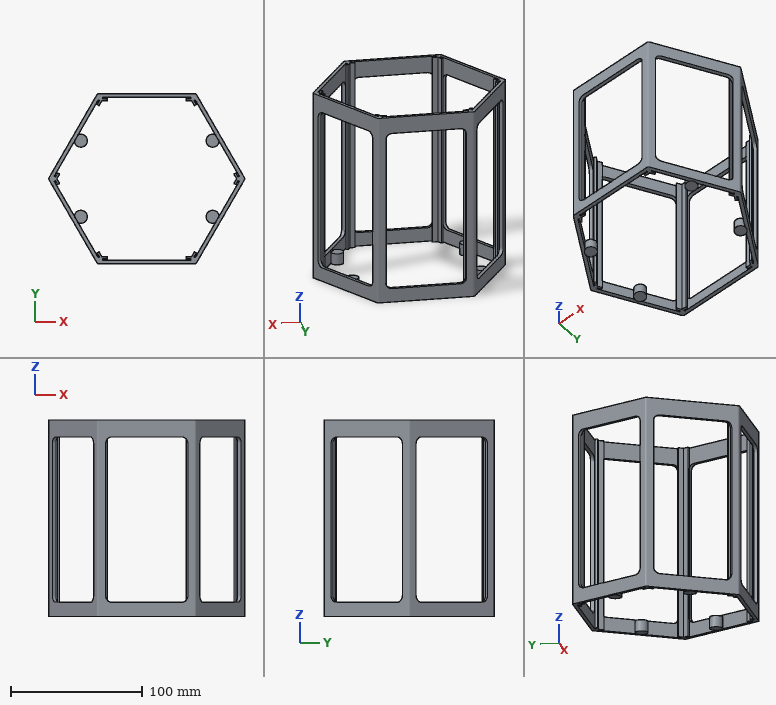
import cadquery as cq
import math

HEIGHT = 150.0
SIDES = 6
ACROSS_FLATS = 130.0
CORNER_RADIUS = 2.0
WALL = 3.0

WINDOW_SIDE_MARGIN = 6.2
WINDOW_TOP_MARGIN = 13.0
WINDOW_BOTTOM_MARGIN = 11.0
WINDOW_RADIUS = 5.0

SLOT_WIDTH = 0.9
LIP_THICKNESS = 1.8
SLOT_FLOOR = 4.0
LIP_END = 7.5

PIN_DIAMETER = 10.0
PIN_HEIGHT = 9.0
PIN_EMBED = 1.0
PIN_WALL_ANGLES = (30, 150, 210, 330)

SIDE_ANGLE = 360 / SIDES
HALF_SIDE_ANGLE = math.radians(SIDE_ANGLE / 2)
APOTHEM = ACROSS_FLATS / 2
CORNER_DISTANCE = APOTHEM / math.cos(HALF_SIDE_ANGLE)
SIDE_LENGTH = 2 * APOTHEM * math.tan(HALF_SIDE_ANGLE)
PIN_CENTER_DISTANCE = APOTHEM - WALL + PIN_EMBED - PIN_DIAMETER / 2


def hexagon_prism(apothem):
    diameter = 2 * apothem / math.cos(HALF_SIDE_ANGLE)
    return cq.Workplane("XY").polygon(SIDES, diameter).extrude(HEIGHT)


def make_wall_ring():
    outside = hexagon_prism(APOTHEM).edges("|Z").fillet(CORNER_RADIUS)
    return outside.cut(hexagon_prism(APOTHEM - WALL))


def make_window(wall_angle):
    """Rounded opening through the wall whose outward normal is at wall_angle."""
    width = SIDE_LENGTH - 2 * WINDOW_SIDE_MARGIN
    height = HEIGHT - WINDOW_TOP_MARGIN - WINDOW_BOTTOM_MARGIN
    center_z = WINDOW_BOTTOM_MARGIN + height / 2
    return (
        cq.Workplane("XY")
        .box(2 * WALL, width, height)
        .edges("|X")
        .fillet(WINDOW_RADIUS)
        .translate((APOTHEM, 0, center_z))
        .rotate((0, 0, 0), (0, 0, 1), wall_angle)
    )


def corner_point(along, depth):
    """Point near the +X corner: along the wall from the sharp corner, and inward from its outer face."""
    x = CORNER_DISTANCE - along * math.sin(HALF_SIDE_ANGLE) - depth * math.cos(HALF_SIDE_ANGLE)
    y = along * math.cos(HALF_SIDE_ANGLE) - depth * math.sin(HALF_SIDE_ANGLE)
    return (x, y)


def make_corner_post(corner_angle):
    """Full-height post in the corner at corner_angle, with a slot and a lip beside each wall."""
    lip_outer = WALL + SLOT_WIDTH
    lip_inner = lip_outer + LIP_THICKNESS
    outer_tip = (CORNER_DISTANCE - WALL / math.cos(HALF_SIDE_ANGLE), 0)
    inner_tip = (CORNER_DISTANCE - lip_inner / math.cos(HALF_SIDE_ANGLE), 0)
    upper_half = [
        corner_point(SLOT_FLOOR, WALL),
        corner_point(SLOT_FLOOR, lip_outer),
        corner_point(LIP_END, lip_outer),
        corner_point(LIP_END, lip_inner),
    ]
    lower_half = [(x, -y) for x, y in reversed(upper_half)]
    return (
        cq.Workplane("XY")
        .polyline([outer_tip, *upper_half, inner_tip, *lower_half])
        .close()
        .extrude(HEIGHT)
        .rotate((0, 0, 0), (0, 0, 1), corner_angle)
    )


def make_pin(wall_angle):
    return (
        cq.Workplane("XY")
        .center(PIN_CENTER_DISTANCE, 0)
        .circle(PIN_DIAMETER / 2)
        .extrude(PIN_HEIGHT)
        .rotate((0, 0, 0), (0, 0, 1), wall_angle)
    )


def make_frame(pins):
    frame = make_wall_ring()
    for index in range(SIDES):
        corner_angle = index * SIDE_ANGLE
        frame = frame.cut(make_window(corner_angle + SIDE_ANGLE / 2))
        frame = frame.union(make_corner_post(corner_angle))
    for pin in pins:
        frame = frame.cut(pin)
    return frame


pins = [make_pin(angle) for angle in PIN_WALL_ANGLES]
frame = make_frame(pins)

result = cq.Compound.makeCompound([frame.val(), *[pin.val() for pin in pins]])